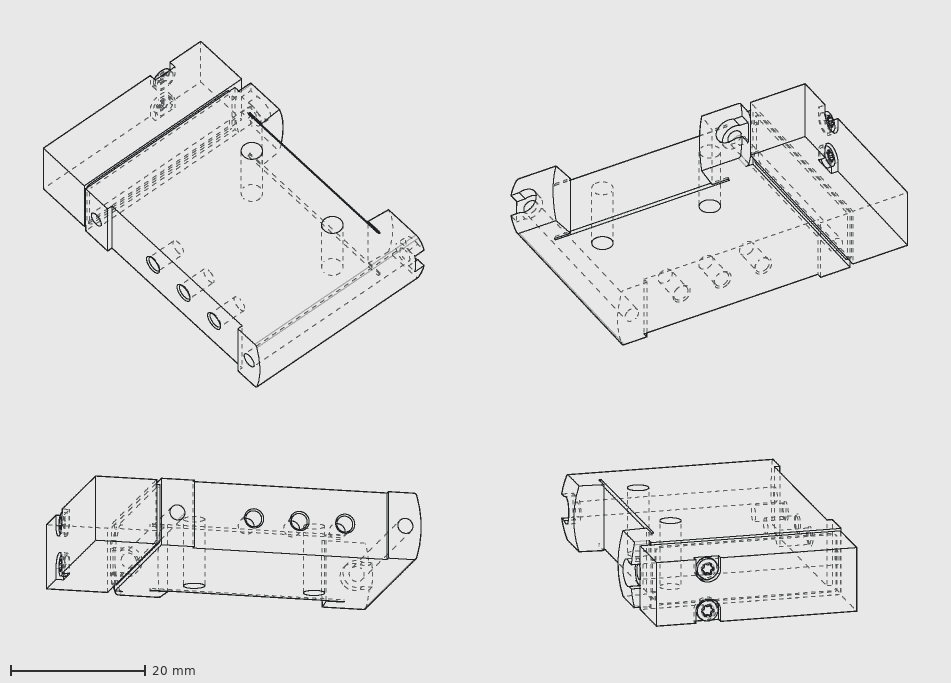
import cadquery as cq
LENGTH = 49.9
DEPTH = 32.5
HEIGHT = 10.25

CAP_START = 10.05
CAP_THICKNESS = 5.05
BULGE = 0.8
BULGE_EDGE_RADIUS = 0.5
CAP_LENGTH = LENGTH - CAP_START
MIDDLE_X = CAP_START + CAP_LENGTH / 2
BODY_START = CAP_START + CAP_THICKNESS
BODY_END = LENGTH - CAP_THICKNESS
INNER_REACH = 7.8
INNER_REACH_AT_TIP = 7.4
PLATE_BACK = 29.35

BODY_FRONT = 0.85
BODY_BACK = 27.95
BODY_CHAMFER = 0.35

PILOT_LENGTH = 9.4
PILOT_FRONT = 0.3
PILOT_BACK = 31.25
PILOT_HEIGHT = 9.9
NECK_FRONT = 0.8
NECK_BACK = 28.8
NECK_HEIGHT = 8.9
NECK_RADIUS = 0.55
TONGUE_HEIGHT = 5.0

CAP_HOLE_INSET = 2.45
CAP_HOLE_DIAMETER = 2.3
COUNTERBORE_DIAMETER = 4.15
COUNTERBORE_FLOOR = 30.6
RELIEF_WIDTH = 3.75

PORT_PITCH = 7.0
PORT_MIDDLE_X = 31.45
PORT_DIAMETER = 2.45
PORT_CHAMFER = 0.25
PORT_DEPTH = 5.0
BODY_HOLE_DIAMETER = 3.2
BODY_HOLE_SPACING = 18.4
BODY_HOLE_Y = 23.45

SCREW_Y = 23.25
SCREW_Z = 3.25
POCKET_WIDTH = 3.85
POCKET_DEPTH = 1.15
HEAD_DIAMETER = 3.2
HEAD_RECESS = 0.2
HEAD_FLAT_DIAMETER = 2.0
HEAD_CONE_LENGTH = 0.15
SOCKET_CORE_DIAMETER = 1.4
SOCKET_LOBE_DIAMETER = 0.45
SOCKET_LOBES = 6
SOCKET_DEPTH = 0.6


def box(x_range, y_range, height):
    """Block spanning two X and two Y positions, centred on Z = 0."""
    x0, x1 = x_range
    y0, y1 = y_range
    return cq.Workplane("XY").box(x1 - x0, y1 - y0, height).translate(((x0 + x1) / 2, (y0 + y1) / 2, 0))


def rod_along_y(x, y_range, diameter):
    """Cylinder parallel to Y, at Z = 0."""
    y0, y1 = y_range
    return cq.Workplane("XZ", origin=(x, y0, 0)).circle(diameter / 2).extrude(y0 - y1)


def bulged_profile(plane, start, end):
    """Profile from start to end whose far edge is an arc bulging outward."""
    top = HEIGHT / 2
    return (
        cq.Workplane(plane)
        .moveTo(start, -top)
        .lineTo(end - BULGE, -top)
        .threePointArc((end, 0), (end - BULGE, top))
        .lineTo(start, top)
        .close()
    )


def make_end_cap():
    """Right-hand cap with bulged outer and rear faces and a lobe behind the body."""
    inner = LENGTH - INNER_REACH
    outline = (
        cq.Workplane("XY", origin=(0, 0, -HEIGHT / 2))
        .moveTo(BODY_END, 0)
        .lineTo(LENGTH, 0)
        .lineTo(LENGTH, DEPTH)
        .lineTo(LENGTH - INNER_REACH_AT_TIP, DEPTH)
        .lineTo(inner, BODY_BACK)
        .lineTo(BODY_END, BODY_BACK)
        .close()
        .extrude(HEIGHT)
    )
    outer_bulge = bulged_profile("XZ", inner, LENGTH).extrude(-DEPTH)
    outer_bulge = outer_bulge.edges("|Y").edges(">X").fillet(BULGE_EDGE_RADIUS)
    rear_bulge = bulged_profile("YZ", 0, DEPTH).extrude(LENGTH)
    cap = outline.intersect(outer_bulge).intersect(rear_bulge)

    hole_x = LENGTH - CAP_HOLE_INSET
    relief = box((hole_x, LENGTH), (COUNTERBORE_FLOOR, DEPTH), RELIEF_WIDTH)
    return (
        cap.cut(rod_along_y(hole_x, (0, DEPTH), CAP_HOLE_DIAMETER))
        .cut(rod_along_y(hole_x, (COUNTERBORE_FLOOR, DEPTH), COUNTERBORE_DIAMETER))
        .cut(relief)
    )


def make_body():
    """Valve body with three blind ports and two vertical through holes."""
    body = box((BODY_START, BODY_END), (BODY_FRONT, BODY_BACK), HEIGHT)
    body = body.edges("|X and >Y").chamfer(BODY_CHAMFER)
    for step in (-1, 0, 1):
        port_x = PORT_MIDDLE_X + step * PORT_PITCH
        port = rod_along_y(port_x, (BODY_FRONT, BODY_FRONT + PORT_DEPTH), PORT_DIAMETER)
        mouth = (
            cq.Workplane("XZ", origin=(port_x, BODY_FRONT, 0))
            .circle(PORT_DIAMETER / 2 + PORT_CHAMFER)
            .extrude(-PORT_CHAMFER, taper=45)
        )
        body = body.cut(port).cut(mouth)
    for side in (-1, 1):
        hole_x = MIDDLE_X + side * BODY_HOLE_SPACING / 2
        hole = cq.Workplane("XY").circle(BODY_HOLE_DIAMETER / 2).extrude(HEIGHT, both=True)
        body = body.cut(hole.translate((hole_x, BODY_HOLE_Y, 0)))
    return body


def make_screw_pocket():
    """Round pocket open to the top of the pilot block."""
    pocket = (
        cq.Workplane("YZ", origin=(0, SCREW_Y, SCREW_Z))
        .circle(POCKET_WIDTH / 2)
        .extrude(POCKET_DEPTH)
    )
    wall_height = PILOT_HEIGHT / 2 - SCREW_Z
    opening = (
        cq.Workplane("YZ", origin=(0, SCREW_Y, SCREW_Z + wall_height / 2))
        .rect(POCKET_WIDTH, wall_height)
        .extrude(POCKET_DEPTH)
    )
    return pocket.union(opening)


def make_screw_head():
    """Round screw head with a conical rim and a six-lobed socket."""
    cone_end = HEAD_RECESS + HEAD_CONE_LENGTH
    profile = (
        cq.Workplane("XY")
        .moveTo(HEAD_RECESS, 0)
        .lineTo(HEAD_RECESS, HEAD_FLAT_DIAMETER / 2)
        .lineTo(cone_end, HEAD_DIAMETER / 2)
        .lineTo(POCKET_DEPTH, HEAD_DIAMETER / 2)
        .lineTo(POCKET_DEPTH, 0)
        .close()
    )
    head = profile.revolve(360, (0, 0, 0), (1, 0, 0))

    socket_plane = cq.Workplane("YZ", origin=(HEAD_RECESS, 0, 0))
    core = socket_plane.circle(SOCKET_CORE_DIAMETER / 2).extrude(SOCKET_DEPTH)
    lobes = (
        socket_plane.polarArray(SOCKET_CORE_DIAMETER / 2, 0, 360, SOCKET_LOBES)
        .circle(SOCKET_LOBE_DIAMETER / 2)
        .extrude(SOCKET_DEPTH)
    )
    return head.cut(core).cut(lobes).translate((0, SCREW_Y, SCREW_Z))


def make_pilot():
    """Pilot block with two screws sunk in its end face."""
    pilot = box((0, PILOT_LENGTH), (PILOT_FRONT, PILOT_BACK), PILOT_HEIGHT)
    pocket = make_screw_pocket()
    head = make_screw_head()
    pilot = pilot.cut(pocket).cut(pocket.mirror("XY"))
    return pilot.union(head).union(head.mirror("XY"))


right_cap = make_end_cap()
left_cap = right_cap.mirror("YZ", (MIDDLE_X, 0, 0))

plate = box((CAP_START, BODY_START), (0, PLATE_BACK), HEIGHT)
plate = plate.cut(rod_along_y(CAP_START + CAP_HOLE_INSET, (0, DEPTH), CAP_HOLE_DIAMETER))

neck = box((PILOT_LENGTH, CAP_START), (NECK_FRONT, NECK_BACK), NECK_HEIGHT)
neck = neck.edges("|X").fillet(NECK_RADIUS)

tongue = box((PILOT_LENGTH, CAP_START), (NECK_BACK, PLATE_BACK), TONGUE_HEIGHT)

result = (
    make_body()
    .union(right_cap)
    .union(left_cap)
    .union(plate)
    .union(neck)
    .union(tongue)
    .union(make_pilot())
)